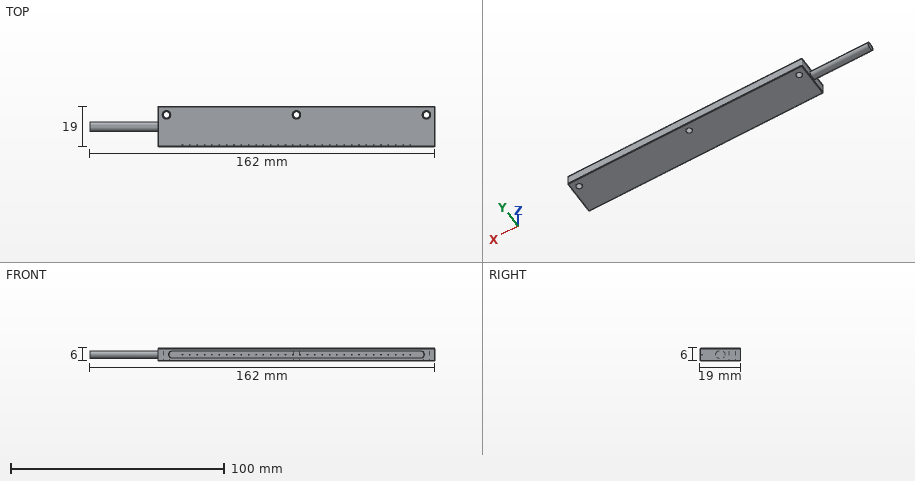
import cadquery as cq

BODY_LENGTH = 130.0
BODY_DEPTH = 19.0
BODY_HEIGHT = 6.0
CORNER_RADIUS = 0.5
EDGE_CHAMFER = 0.3
MID_HEIGHT = BODY_HEIGHT / 2

CABLE_LENGTH = 32.0
CABLE_WIDTH = 4.5
CABLE_HEIGHT = 3.5

MOUNT_HOLE_DIAMETER = 3.0
MOUNT_HOLE_CHAMFER = 0.5
RIM_ANGLE = 45.0
MOUNT_HOLE_INSET = 4.0
MOUNT_HOLE_COUNT = 3

WINDOW_INSET = 5.0
WINDOW_LENGTH = BODY_LENGTH - 2 * WINDOW_INSET
WINDOW_HEIGHT = 3.3
WINDOW_DEPTH = 0.1

FINE_HOLE_DIAMETER = 0.28
FINE_HOLE_COUNT = 32
FINE_HOLE_PITCH = 3.45
FINE_HOLE_DEPTH = 1.0


def make_body():
    """Plate with rounded upright corners and chamfered top and bottom edges."""
    plate = cq.Workplane("XY").box(BODY_LENGTH, BODY_DEPTH, BODY_HEIGHT, centered=False)
    rounded = plate.edges("|Z").fillet(CORNER_RADIUS)
    return rounded.faces("|Z").edges().chamfer(EDGE_CHAMFER)


def make_cable():
    """Bar with a flat-sided, round-ended section, ending on the left face of the body."""
    section = cq.Workplane("YZ", origin=(-CABLE_LENGTH, BODY_DEPTH / 2, MID_HEIGHT))
    return section.slot2D(CABLE_WIDTH, CABLE_HEIGHT).extrude(CABLE_LENGTH)


def make_mount_holes():
    """Evenly spaced through holes, each with a chamfered rim at the top."""
    pitch = (BODY_LENGTH - 2 * MOUNT_HOLE_INSET) / (MOUNT_HOLE_COUNT - 1)
    row_centre = (BODY_LENGTH / 2, BODY_DEPTH - MOUNT_HOLE_INSET, BODY_HEIGHT)
    row = cq.Workplane("XY", origin=row_centre).rarray(pitch, 1, MOUNT_HOLE_COUNT, 1)
    holes = row.circle(MOUNT_HOLE_DIAMETER / 2).extrude(-BODY_HEIGHT)
    rim_radius = MOUNT_HOLE_DIAMETER / 2 + MOUNT_HOLE_CHAMFER
    rims = row.circle(rim_radius).extrude(-MOUNT_HOLE_CHAMFER, taper=RIM_ANGLE)
    return holes.union(rims)


def front_plane(depth):
    """Plane facing -Y, centred on the front face and set back by the given depth."""
    return cq.Workplane("XZ", origin=(BODY_LENGTH / 2, depth, MID_HEIGHT))


def make_window():
    """Shallow round-ended recess."""
    return front_plane(0).slot2D(WINDOW_LENGTH, WINDOW_HEIGHT).extrude(-WINDOW_DEPTH)


def make_fine_holes():
    """Row of blind holes that starts at the window floor."""
    row = front_plane(WINDOW_DEPTH).rarray(FINE_HOLE_PITCH, 1, FINE_HOLE_COUNT, 1)
    return row.circle(FINE_HOLE_DIAMETER / 2).extrude(-FINE_HOLE_DEPTH)


housing = make_body().cut(make_mount_holes()).cut(make_window()).cut(make_fine_holes())
result = housing.union(make_cable())